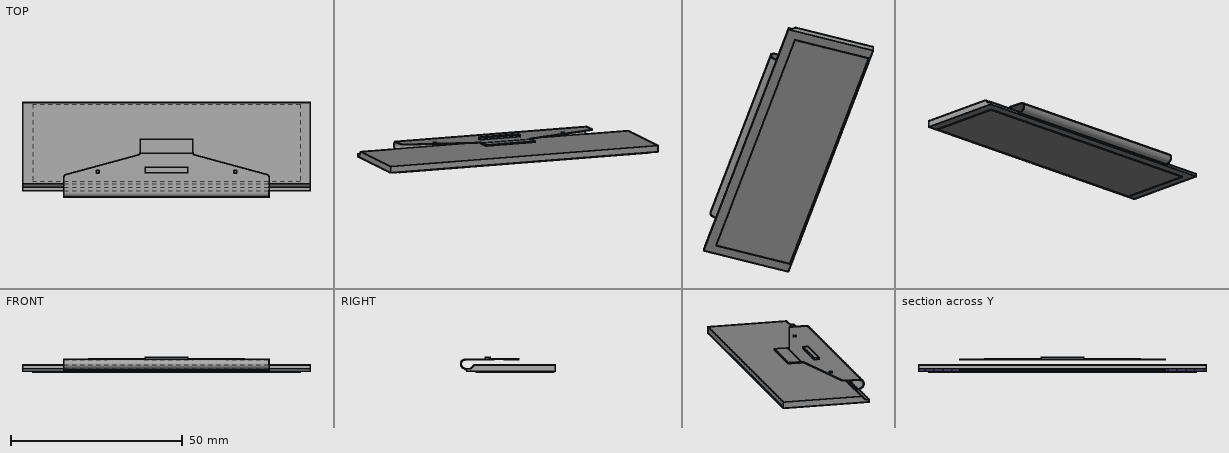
import cadquery as cq
import math

plate_length = 84.0
plate_depth = 25.9
plate_top = 2.1
lip_top = 1.0
lip_depth = 1.1
bevel_depth = plate_top - lip_top

pad_length = 78.0
pad_depth = 22.5
pad_thickness = 0.2
pad_back_gap = 0.5

sheet = 0.2
clip_length = 60.0
front_y = -27.6
upper_bend_radius = 1.35
lower_bend_radius = 1.4
leaf_front_y = front_y + upper_bend_radius
bend_z = 2.39
leaf_front_top = bend_z + upper_bend_radius
slope_angle = math.radians(28)
shoulder_y = -21.25
shoulder_radius = 1.0

tab_width = 15.45
tab_root_y = -15.2
tab_tip_y = -10.75
tab_root_radius = 0.5
tab_step_y = -14.9
tab_thickness = 0.3
leaf_rise = 0.235

hole_diameter = 0.9
hole_spacing = 40.15
hole_y = -20.25
bar_length = 12.5
bar_width = 1.5
bar_y = -19.7
bar_top = 4.4

bevel_foot_y = -plate_depth + lip_depth


def below_bend(radius):
    """Point where a lower bend arc of this radius runs into the slope."""
    y = front_y + lower_bend_radius - radius * math.sin(slope_angle)
    z = bend_z - radius * math.cos(slope_angle)
    return (y, z)


slope_y, slope_z = below_bend(lower_bend_radius)
flange_bottom = slope_z - (-plate_depth - slope_y) * math.tan(slope_angle)
flange_top = flange_bottom + sheet


def leaf_top(y):
    """Height of the sloping upper face of the leaf."""
    return leaf_front_top + leaf_rise * (y - leaf_front_y) / (tab_tip_y - leaf_front_y)


def along_x(sketch, length):
    """Extrude a YZ outline symmetrically about X = 0."""
    return sketch.extrude(length / 2, both=True)


def make_plate():
    outline = (
        cq.Workplane("YZ")
        .moveTo(0, pad_thickness)
        .lineTo(0, plate_top)
        .lineTo(bevel_foot_y + bevel_depth, plate_top)
        .lineTo(bevel_foot_y, lip_top)
        .lineTo(-plate_depth, lip_top)
        .lineTo(-plate_depth, pad_thickness)
        .close()
    )
    recess_height = lip_top - flange_bottom
    recess = cq.Workplane("XY").box(clip_length, lip_depth, recess_height, centered=(True, False, False))
    return along_x(outline, plate_length).cut(recess.translate((0, -plate_depth, flange_bottom)))


def make_pad():
    pad = cq.Workplane("XY").box(pad_length, pad_depth, pad_thickness, centered=(True, False, False))
    return pad.translate((0, -pad_back_gap - pad_depth, 0))


def make_bent_strip():
    """Full-width strip: flange, slope, two-radius bend, rising leaf and thicker tab."""
    upper_inner_radius = upper_bend_radius - sheet
    lower_inner_radius = lower_bend_radius - sheet
    outline = (
        cq.Workplane("YZ")
        .moveTo(bevel_foot_y, flange_bottom)
        .lineTo(-plate_depth, flange_bottom)
        .lineTo(slope_y, slope_z)
        .radiusArc((front_y, bend_z), lower_bend_radius)
        .radiusArc((leaf_front_y, leaf_front_top), upper_bend_radius)
        .lineTo(tab_tip_y, leaf_top(tab_tip_y))
        .lineTo(tab_tip_y, leaf_top(tab_tip_y) - tab_thickness)
        .lineTo(tab_step_y, leaf_top(tab_step_y) - tab_thickness)
        .lineTo(tab_step_y, leaf_top(tab_step_y) - sheet)
        .lineTo(leaf_front_y, leaf_front_top - sheet)
        .radiusArc((front_y + sheet, bend_z), -upper_inner_radius)
        .radiusArc(below_bend(lower_inner_radius), -lower_inner_radius)
        .lineTo(-plate_depth, flange_top)
        .lineTo(bevel_foot_y, flange_top)
        .close()
    )
    return along_x(outline, clip_length)


def make_leaf_blank():
    """Plan outline of the clip, as a block taller than the bent strip."""
    half_clip = clip_length / 2
    half_tab = tab_width / 2
    blank = (
        cq.Workplane("XY")
        .polyline([
            (-half_clip, front_y),
            (half_clip, front_y),
            (half_clip, shoulder_y),
            (half_tab, tab_root_y),
            (half_tab, tab_tip_y),
            (-half_tab, tab_tip_y),
            (-half_tab, tab_root_y),
            (-half_clip, shoulder_y),
        ])
        .close()
        .extrude(bar_top)
    )
    for side in (-1, 1):
        shoulder = cq.NearestToPointSelector((side * half_clip, shoulder_y, bar_top / 2))
        blank = blank.edges("|Z").edges(shoulder).fillet(shoulder_radius)
        tab_root = cq.NearestToPointSelector((side * half_tab, tab_root_y, bar_top / 2))
        blank = blank.edges("|Z").edges(tab_root).fillet(tab_root_radius)
    return blank


def make_clip():
    clip = make_bent_strip().intersect(make_leaf_blank())
    holes = (
        cq.Workplane("XY", origin=(0, hole_y, bend_z))
        .pushPoints([(-hole_spacing / 2, 0), (hole_spacing / 2, 0)])
        .circle(hole_diameter / 2)
        .extrude(bar_top - bend_z)
    )
    bar_base = leaf_top(bar_y) - sheet / 2
    bar = (
        cq.Workplane("XY", origin=(0, bar_y, bar_base))
        .rect(bar_length, bar_width)
        .extrude(bar_top - bar_base)
    )
    return clip.cut(holes).union(bar)


plate = make_plate()
pad = make_pad()
clip = make_clip()

result = cq.Compound.makeCompound([plate.val(), pad.val(), clip.val()])